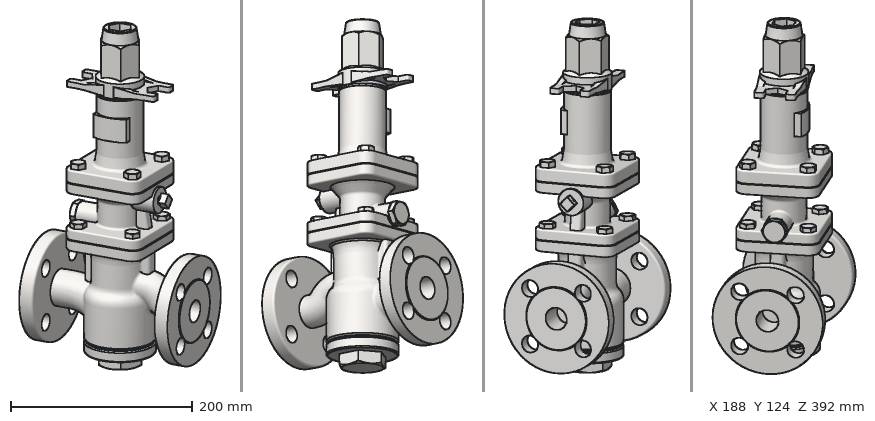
import cadquery as cq
import math

COS30 = math.cos(math.radians(30))
SELECTION_MARGIN = 1

FACE_TO_FACE = 188
FLANGE_DIA = 124
FLANGE_THICKNESS = 17
FLANGE_EDGE_RADIUS = 2.5
RAISED_FACE_DIA = 70
RAISED_FACE_HEIGHT = 1
BOLT_CIRCLE_DIA = 88.9
BOLT_HOLE_DIA = 19
BOLT_START_ANGLE = 45
BORE_DIA = 25
BORE_DEPTH = 35
FLANGE_BACK_X = FACE_TO_FACE / 2 - RAISED_FACE_HEIGHT - FLANGE_THICKNESS
INLET_DIA = 42
INLET_BEND_X = -60
INLET_BEND_RADIUS = 60
INLET_BEND_ANGLE = 40
OUTLET_DIA = 37
OUTLET_BEND_X = 72.5
OUTLET_BEND_RADIUS = 26
OUTLET_RETURN_RADIUS = 25.5
OUTLET_BEND_ANGLE = 52
OUTLET_END_X = 10
PIPE_BLEND_RADIUS = 4

BODY_RADIUS = 40
NECK_RADIUS = 32
CAP_BOTTOM_Z = -62
CAP_TOP_Z = -49
BODY_BOTTOM_Z = -47.5
CAP_CHAMFER = 1.5
BODY_BOTTOM_CHAMFER = 2
JOINT_DEPTH = 2
SHOULDER_BOTTOM_Z = 1.5
SHOULDER_TOP_Z = 20.5
SHOULDER_RADIUS = 15.5
FLARE_BOTTOM_Z = 48.5
FLARE_TOP_RADIUS = 34.5
FLARE_TOP_Z = 60.5
FLARE_HEAD_RADIUS = 36.5
BOTTOM_HEX_AF = 47
BOTTOM_HEX_HEIGHT = 14
CHANNEL_REACH = 41
CHANNEL_WIDTH = 16
CHANNEL_EDGE_RADIUS = 4
CHANNEL_ROOT_RADIUS = 3
CHANNEL_BOTTOM_Z = 15

PLATE_SIZE = 94
PLATE_CORNER_RADIUS = 13
PLATE_EDGE_RADIUS = 2
GASKET_THICKNESS = 1
GASKET_INSET = 0.3
LOWER_PLATE_Z = (62.5, 75.5, 88)
UPPER_PLATE_Z = (129, 141.7, 157)
BOLT_OFFSET = 34
BOLT_HEAD_AF = 16
CROWN_RATIO = 0.98
CROWN_CHAMFER_ANGLE = 30
LOWER_HEAD_HEIGHT = 5.5
UPPER_HEAD_HEIGHT = 6.5

COLUMN_RADIUS = 25
COLUMN_FOOT_RADIUS = 3
COLUMN_FLARE_Z = 115.5
CONE_BOTTOM = (26.5, 119)
CONE_TOP = (32.5, 126)
COLUMN_HEAD_RADIUS = 35.5
LEFT_PORT_DIA = 27
LEFT_PORT_Z = 91.3
LEFT_PORT_END_X = -49
LEFT_PORT_FILLET = 2.5
LEFT_PLUG_AF = 25
LEFT_PLUG_HEIGHT = 7.5
RIGHT_PORT_DIA = 30
RIGHT_PORT_Z = 122.5
RIGHT_PORT_END_X = 50
PLUG_COLLAR_DIA = 10
PLUG_COLLAR_LENGTH = 2
PLUG_SQUARE_DIAGONAL = 17
PLUG_SQUARE_LENGTH = 9
RIB_WIDTH = 13
RIB_EDGE_RADIUS = 3
RIB_TOP_X = 32.5
RIB_BOTTOM_X = 38

CASE_RADIUS = 26
CASE_FOOT_RADIUS = 28
CASE_FOOT_Z = 160
CASE_FLARE_Z = 171.5
CASE_BASE_RADIUS = 33
RING_RADIUS = 27
RING_BOTTOM_Z = 241
RING_TOP_Z = 259
GROOVE_WIDTH = 2.5
GROOVE_DEPTH = 1
CONE_FOOT_RADIUS = 21
CONE_FOOT_Z = 263
HEX_AF = 42
HEX_SHOULDER_ANGLE = 40
HEX_TOP_Z = 301.5
TOP_Z = 316
TIP_RADIUS = 18.5
TIP_BASE_RADIUS = 20.5
TIP_EDGE = 1
SOCKET_AF = 24
SOCKET_DEPTH = 11
NAMEPLATE_HALF_WIDTH = 20.8
NAMEPLATE_EDGE_Y = -23.4
NAMEPLATE_FRONT_Y = -27.8
NAMEPLATE_Z = (191.5, 218.5)
HANDLE_HALF_LENGTH = 55
HANDLE_HALF_WIDTH = 23.2
HANDLE_WAIST_HALF_WIDTH = 26.6
HANDLE_TAPER_X = 42
HANDLE_GAP_HALF_WIDTH = 6.2
HANDLE_Z = (244.5, 251)
FORK_HALF_WIDTH = 12.3
FORK_TIP_RADIUS = 2.5
FORK_SHOULDER_X = 41.6
FORK_APEX_X = 34.3
HANDLE_RIB_INNER_Y = 17
HANDLE_RIB_END_X = 32
HANDLE_RIB_Z = (242.5, 255.5)


def cylinder_z(radius, bottom, top):
    return cq.Workplane("XY").workplane(offset=bottom).circle(radius).extrude(top - bottom)


def cylinder_x(dia, start, end, z=0):
    return cq.Workplane("YZ", origin=(start, 0, z)).circle(dia / 2).extrude(end - start)


def hex_head(across_flats, height):
    """Hexagon with corners on X, standing on z = 0, with a chamfered crown."""
    corner_radius = across_flats / 2 / COS30
    crown_radius = across_flats / 2 * CROWN_RATIO
    crown_drop = (corner_radius - crown_radius) * math.tan(math.radians(CROWN_CHAMFER_ANGLE))
    prism = cq.Workplane("XY").polygon(6, 2 * corner_radius).extrude(height)
    crown = (
        cq.Workplane("XZ")
        .polyline([(0, 0), (corner_radius, 0), (corner_radius, height - crown_drop),
                   (crown_radius, height), (0, height)])
        .close()
        .revolve(360, (0, 0), (0, 1))
    )
    return prism.intersect(crown)


def pipe_flange(side):
    """Flange on the -X (side = -1) or +X (side = 1) end."""
    back = cq.Workplane("YZ", origin=(side * FLANGE_BACK_X, 0, 0))
    disc = back.circle(FLANGE_DIA / 2).extrude(side * FLANGE_THICKNESS)
    inner_edge = "<X" if side > 0 else ">X"
    disc = disc.faces(inner_edge).edges().fillet(FLANGE_EDGE_RADIUS)
    face_x = side * FACE_TO_FACE / 2
    raised = (
        cq.Workplane("YZ", origin=(face_x - side * RAISED_FACE_HEIGHT, 0, 0))
        .circle(RAISED_FACE_DIA / 2 + RAISED_FACE_HEIGHT)
        .workplane(offset=side * RAISED_FACE_HEIGHT)
        .circle(RAISED_FACE_DIA / 2)
        .loft()
    )
    holes = (
        back.polarArray(BOLT_CIRCLE_DIA / 2, BOLT_START_ANGLE, 360, 4)
        .circle(BOLT_HOLE_DIA / 2)
        .extrude(side * (FLANGE_THICKNESS + RAISED_FACE_HEIGHT))
    )
    return disc.union(raised).cut(holes)


def inlet_pipe():
    """Straight stub that bends down into the body."""
    angle = math.radians(INLET_BEND_ANGLE)

    def bend_point(a):
        return (INLET_BEND_X + INLET_BEND_RADIUS * math.sin(a),
                INLET_BEND_RADIUS * (math.cos(a) - 1))

    path = (
        cq.Workplane("XZ")
        .moveTo(-FLANGE_BACK_X, 0)
        .lineTo(INLET_BEND_X, 0)
        .threePointArc(bend_point(angle / 2), bend_point(angle))
    )
    return cq.Workplane("YZ", origin=(-FLANGE_BACK_X, 0, 0)).circle(INLET_DIA / 2).sweep(path)


def outlet_pipe():
    """S-bend that rises from the flange and levels out inside the neck."""
    half = math.radians(OUTLET_BEND_ANGLE / 2)
    full = math.radians(OUTLET_BEND_ANGLE)
    r1 = OUTLET_BEND_RADIUS
    r2 = OUTLET_RETURN_RADIUS

    def rise_point(a):
        return (OUTLET_BEND_X - r1 * math.sin(a), r1 * (1 - math.cos(a)))

    seam_x, seam_z = rise_point(full)
    center_x = seam_x - r2 * math.sin(full)
    center_z = seam_z - r2 * math.cos(full)
    path = (
        cq.Workplane("XZ")
        .moveTo(FLANGE_BACK_X, 0)
        .lineTo(OUTLET_BEND_X, 0)
        .threePointArc(rise_point(half), (seam_x, seam_z))
        .threePointArc((center_x + r2 * math.sin(half), center_z + r2 * math.cos(half)),
                       (center_x, center_z + r2))
        .lineTo(OUTLET_END_X, center_z + r2)
    )
    return cq.Workplane("YZ", origin=(FLANGE_BACK_X, 0, 0)).circle(OUTLET_DIA / 2).sweep(path)


def valve_body():
    """Turned body: bottom cap, barrel, rounded shoulder, neck and flare."""
    rise = SHOULDER_TOP_Z - SHOULDER_BOTTOM_Z
    shoulder_center = BODY_RADIUS - SHOULDER_RADIUS
    gap = NECK_RADIUS - shoulder_center
    blend = (gap**2 + rise**2 - SHOULDER_RADIUS**2) / (2 * (SHOULDER_RADIUS - gap))
    blend_center = NECK_RADIUS + blend
    sweep = math.atan2(rise, blend_center - shoulder_center)

    def on_shoulder(a):
        return (shoulder_center + SHOULDER_RADIUS * math.cos(a),
                SHOULDER_BOTTOM_Z + SHOULDER_RADIUS * math.sin(a))

    def on_blend(a):
        return (blend_center - blend * math.cos(a), SHOULDER_TOP_Z - blend * math.sin(a))

    joint_radius = BODY_RADIUS - JOINT_DEPTH
    plate_bottom = LOWER_PLATE_Z[0]
    body = (
        cq.Workplane("XZ")
        .moveTo(0, CAP_BOTTOM_Z)
        .lineTo(BODY_RADIUS - CAP_CHAMFER, CAP_BOTTOM_Z)
        .lineTo(BODY_RADIUS, CAP_BOTTOM_Z + CAP_CHAMFER)
        .lineTo(BODY_RADIUS, CAP_TOP_Z - CAP_CHAMFER)
        .lineTo(joint_radius, CAP_TOP_Z)
        .lineTo(joint_radius, BODY_BOTTOM_Z)
        .lineTo(BODY_RADIUS, BODY_BOTTOM_Z + BODY_BOTTOM_CHAMFER)
        .lineTo(BODY_RADIUS, SHOULDER_BOTTOM_Z)
        .threePointArc(on_shoulder(sweep / 2), on_shoulder(sweep))
        .threePointArc(on_blend(sweep / 2), (NECK_RADIUS, SHOULDER_TOP_Z))
        .lineTo(NECK_RADIUS, FLARE_BOTTOM_Z)
        .tangentArcPoint((FLARE_TOP_RADIUS, FLARE_TOP_Z), relative=False)
        .lineTo(FLARE_HEAD_RADIUS, plate_bottom)
        .lineTo(0, plate_bottom)
        .close()
        .revolve(360, (0, 0), (0, 1))
    )
    hexagon = hex_head(BOTTOM_HEX_AF, BOTTOM_HEX_HEIGHT).rotate((0, 0, 0), (1, 0, 0), 180)
    return body.union(hexagon.translate((0, 0, CAP_BOTTOM_Z)))


def blend_pipe(body, pipe, side):
    """Join a pipe to one side of the body with a fillet around their meeting line."""
    inner_x = side * NECK_RADIUS / 2
    outer_x = side * (BODY_RADIUS + SELECTION_MARGIN)
    reach = INLET_DIA / 2 + SELECTION_MARGIN
    meeting_line = cq.selectors.BoxSelector(
        (inner_x, -reach, CAP_TOP_Z), (outer_x, reach, FLARE_BOTTOM_Z))
    return body.union(pipe).edges(meeting_line).fillet(PIPE_BLEND_RADIUS)


def neck_channels():
    """Ribs on the -X and +X sides of the neck, blended into its cylinder."""
    height = LOWER_PLATE_Z[0] - CHANNEL_BOTTOM_Z
    base = cq.Workplane("XY").workplane(offset=CHANNEL_BOTTOM_Z)
    ribs = (
        base.rect(2 * CHANNEL_REACH, CHANNEL_WIDTH)
        .extrude(height)
        .edges("|Z")
        .fillet(CHANNEL_EDGE_RADIUS)
    )
    ribbed_neck = base.circle(NECK_RADIUS).extrude(height).union(ribs)
    root_x = math.sqrt(NECK_RADIUS**2 - (CHANNEL_WIDTH / 2) ** 2)
    for side in (-1, 1):
        window = cq.selectors.BoxSelector(
            (side * root_x - SELECTION_MARGIN, -NECK_RADIUS, CHANNEL_BOTTOM_Z),
            (side * root_x + SELECTION_MARGIN, NECK_RADIUS, LOWER_PLATE_Z[0]))
        ribbed_neck = ribbed_neck.edges("|Z").edges(window).fillet(CHANNEL_ROOT_RADIUS)
    return ribbed_neck


def plate(bottom, top, rounded_face):
    return (
        cq.Workplane("XY")
        .workplane(offset=bottom)
        .rect(PLATE_SIZE, PLATE_SIZE)
        .extrude(top - bottom)
        .edges("|Z")
        .fillet(PLATE_CORNER_RADIUS)
        .faces(rounded_face)
        .edges()
        .fillet(PLATE_EDGE_RADIUS)
    )


def plate_pair(heights, head_height, first_angle):
    """Two clamped plates with a gasket between them and four hexagon bolt heads."""
    bottom, joint, top = heights
    gasket_bottom = joint - GASKET_THICKNESS / 2
    gasket_top = joint + GASKET_THICKNESS / 2
    gasket_size = PLATE_SIZE - 2 * GASKET_INSET
    gasket = (
        cq.Workplane("XY")
        .workplane(offset=gasket_bottom)
        .rect(gasket_size, gasket_size)
        .extrude(GASKET_THICKNESS)
        .edges("|Z")
        .fillet(PLATE_CORNER_RADIUS - GASKET_INSET)
    )
    pair = plate(bottom, gasket_bottom, "<Z").union(gasket).union(plate(gasket_top, top, ">Z"))
    head = (
        hex_head(BOLT_HEAD_AF, head_height)
        .rotate((0, 0, 0), (0, 0, 1), first_angle)
        .translate((-BOLT_OFFSET, -BOLT_OFFSET, top))
    )
    for quarter in range(4):
        pair = pair.union(head.rotate((0, 0, 0), (0, 0, 1), 90 * quarter))
    return pair


def column():
    """Turned column between the plate pairs, widening upwards."""
    foot_z = LOWER_PLATE_Z[2]
    head_z = UPPER_PLATE_Z[0]
    foot_center = (COLUMN_RADIUS + COLUMN_FOOT_RADIUS, foot_z + COLUMN_FOOT_RADIUS)
    foot_mid = COLUMN_FOOT_RADIUS * math.sin(math.radians(45))
    return (
        cq.Workplane("XZ")
        .moveTo(0, foot_z)
        .lineTo(foot_center[0], foot_z)
        .threePointArc((foot_center[0] - foot_mid, foot_center[1] - foot_mid),
                       (COLUMN_RADIUS, foot_center[1]))
        .lineTo(COLUMN_RADIUS, COLUMN_FLARE_Z)
        .tangentArcPoint(CONE_BOTTOM, relative=False)
        .lineTo(*CONE_TOP)
        .lineTo(COLUMN_HEAD_RADIUS, head_z)
        .lineTo(0, head_z)
        .close()
        .revolve(360, (0, 0), (0, 1))
    )


def left_port():
    """Port on the -X side of the column, closed by a hexagon plug."""
    port = cylinder_x(LEFT_PORT_DIA, LEFT_PORT_END_X, 0, LEFT_PORT_Z)
    root = cylinder_z(COLUMN_RADIUS, LEFT_PORT_Z - LEFT_PORT_DIA, COLUMN_FLARE_Z)
    meeting_line = cq.selectors.BoxSelector(
        (-COLUMN_RADIUS - SELECTION_MARGIN, -LEFT_PORT_DIA, LEFT_PORT_Z - LEFT_PORT_DIA),
        (-SELECTION_MARGIN, LEFT_PORT_DIA, LEFT_PORT_Z + LEFT_PORT_DIA))
    port = root.union(port).edges(meeting_line).fillet(LEFT_PORT_FILLET)
    plug = (
        hex_head(LEFT_PLUG_AF, LEFT_PLUG_HEIGHT)
        .rotate((0, 0, 0), (0, 0, 1), 90)
        .rotate((0, 0, 0), (0, 1, 0), -90)
        .translate((LEFT_PORT_END_X, 0, LEFT_PORT_Z))
    )
    return port.union(plug)


def right_port():
    """Port on the +X side of the column with a square-headed plug and a rib below it."""
    port = cylinder_x(RIGHT_PORT_DIA, 0, RIGHT_PORT_END_X, RIGHT_PORT_Z)
    square_x = RIGHT_PORT_END_X + PLUG_COLLAR_LENGTH
    collar = cylinder_x(PLUG_COLLAR_DIA, RIGHT_PORT_END_X, square_x, RIGHT_PORT_Z)
    square = (
        cq.Workplane("YZ", origin=(square_x, 0, RIGHT_PORT_Z))
        .polygon(4, PLUG_SQUARE_DIAGONAL)
        .extrude(PLUG_SQUARE_LENGTH)
    )
    rib = (
        cq.Workplane("XZ")
        .polyline([(0, LOWER_PLATE_Z[2]), (RIB_BOTTOM_X, LOWER_PLATE_Z[2]),
                   (RIB_TOP_X, RIGHT_PORT_Z), (0, RIGHT_PORT_Z)])
        .close()
        .extrude(RIB_WIDTH / 2, both=True)
        .faces(">X")
        .edges("not |Y")
        .fillet(RIB_EDGE_RADIUS)
    )
    return port.union(collar).union(square).union(rib)


def spring_case():
    """Turned spring case with the handle ring on top."""
    base_z = UPPER_PLATE_Z[2]
    fillet_reach = math.cos(math.radians(45))
    foot_fillet_mid = (CASE_BASE_RADIUS - (CASE_BASE_RADIUS - CASE_FOOT_RADIUS) * fillet_reach,
                       CASE_FOOT_Z - (CASE_FOOT_Z - base_z) * fillet_reach)
    groove_radius = CASE_RADIUS - GROOVE_DEPTH
    return (
        cq.Workplane("XZ")
        .moveTo(0, base_z)
        .lineTo(CASE_BASE_RADIUS, base_z)
        .threePointArc(foot_fillet_mid, (CASE_FOOT_RADIUS, CASE_FOOT_Z))
        .lineTo(CASE_RADIUS, CASE_FLARE_Z)
        .lineTo(CASE_RADIUS, RING_BOTTOM_Z - GROOVE_WIDTH)
        .lineTo(groove_radius, RING_BOTTOM_Z - GROOVE_WIDTH)
        .lineTo(groove_radius, RING_BOTTOM_Z)
        .lineTo(RING_RADIUS, RING_BOTTOM_Z)
        .lineTo(RING_RADIUS, RING_TOP_Z)
        .lineTo(CONE_FOOT_RADIUS, CONE_FOOT_Z)
        .lineTo(0, CONE_FOOT_Z)
        .close()
        .revolve(360, (0, 0), (0, 1))
    )


def nameplate():
    bottom, top = NAMEPLATE_Z
    return (
        cq.Workplane("XY")
        .workplane(offset=bottom)
        .moveTo(-NAMEPLATE_HALF_WIDTH, 0)
        .lineTo(-NAMEPLATE_HALF_WIDTH, NAMEPLATE_EDGE_Y)
        .threePointArc((0, NAMEPLATE_FRONT_Y), (NAMEPLATE_HALF_WIDTH, NAMEPLATE_EDGE_Y))
        .lineTo(NAMEPLATE_HALF_WIDTH, 0)
        .close()
        .extrude(top - bottom)
    )


def handle_arm():
    """Forked arm on the +X side, stiffened by a tapered rib along each long edge."""
    bottom, top = HANDLE_Z
    rib_bottom, rib_top = HANDLE_RIB_Z
    edge = [(HANDLE_GAP_HALF_WIDTH, HANDLE_WAIST_HALF_WIDTH), (HANDLE_TAPER_X, HANDLE_HALF_WIDTH),
            (HANDLE_HALF_LENGTH, HANDLE_HALF_WIDTH), (HANDLE_HALF_LENGTH, FORK_HALF_WIDTH),
            (FORK_SHOULDER_X, FORK_HALF_WIDTH)]
    mirrored_edge = [(x, -y) for x, y in reversed(edge)]
    outline = edge + [(FORK_APEX_X, 0)] + mirrored_edge
    footprint = cq.Workplane("XY").workplane(offset=rib_bottom).polyline(outline).close()
    blank = footprint.extrude(rib_top - rib_bottom)
    blank = blank.faces(">X").edges("|Z").fillet(FORK_TIP_RADIUS)
    slab = cq.Workplane("XY").box(
        HANDLE_HALF_LENGTH, 2 * HANDLE_WAIST_HALF_WIDTH, top - bottom, centered=(False, True, False)
    ).translate((0, 0, bottom))
    rib = (
        cq.Workplane("XZ", origin=(0, -HANDLE_RIB_INNER_Y, 0))
        .polyline([(HANDLE_GAP_HALF_WIDTH, rib_bottom), (HANDLE_RIB_END_X, bottom),
                   (HANDLE_RIB_END_X, top), (HANDLE_GAP_HALF_WIDTH, rib_top)])
        .close()
        .extrude(HANDLE_WAIST_HALF_WIDTH - HANDLE_RIB_INNER_Y)
    )
    return blank.intersect(slab.union(rib).union(rib.mirror("XZ")))


def screw_cap():
    """Hexagon with a tapered round tip and a hexagon socket in its top."""
    corner_radius = HEX_AF / 2 / COS30
    hexagon = (
        cq.Workplane("XY")
        .workplane(offset=RING_TOP_Z)
        .polygon(6, 2 * corner_radius)
        .extrude(TOP_Z - RING_TOP_Z)
    )
    shoulder_drop = (corner_radius - HEX_AF / 2) * math.tan(math.radians(HEX_SHOULDER_ANGLE))
    turned = (
        cq.Workplane("XZ")
        .polyline([(0, RING_TOP_Z), (corner_radius, RING_TOP_Z),
                   (corner_radius, HEX_TOP_Z - shoulder_drop), (HEX_AF / 2, HEX_TOP_Z),
                   (TIP_BASE_RADIUS, HEX_TOP_Z), (TIP_RADIUS, TOP_Z - TIP_EDGE),
                   (TIP_RADIUS - TIP_EDGE, TOP_Z), (0, TOP_Z)])
        .close()
        .revolve(360, (0, 0), (0, 1))
    )
    socket = (
        cq.Workplane("XY")
        .workplane(offset=TOP_Z - SOCKET_DEPTH)
        .polygon(6, SOCKET_AF / COS30)
        .extrude(SOCKET_DEPTH)
    )
    return hexagon.intersect(turned).cut(socket)


def bore(side):
    face_x = side * FACE_TO_FACE / 2
    return cylinder_x(BORE_DIA, face_x, face_x - side * BORE_DEPTH)


arm = handle_arm()
piped_body = blend_pipe(valve_body(), inlet_pipe(), -1)
piped_body = blend_pipe(piped_body, outlet_pipe(), 1)
result = (
    piped_body
    .union(neck_channels())
    .union(pipe_flange(-1))
    .union(pipe_flange(1))
    .union(plate_pair(LOWER_PLATE_Z, LOWER_HEAD_HEIGHT, 90))
    .union(column())
    .union(left_port())
    .union(right_port())
    .union(plate_pair(UPPER_PLATE_Z, UPPER_HEAD_HEIGHT, 0))
    .union(spring_case())
    .union(nameplate())
    .union(arm)
    .union(arm.mirror("YZ"))
    .union(screw_cap())
    .cut(bore(-1))
    .cut(bore(1))
)